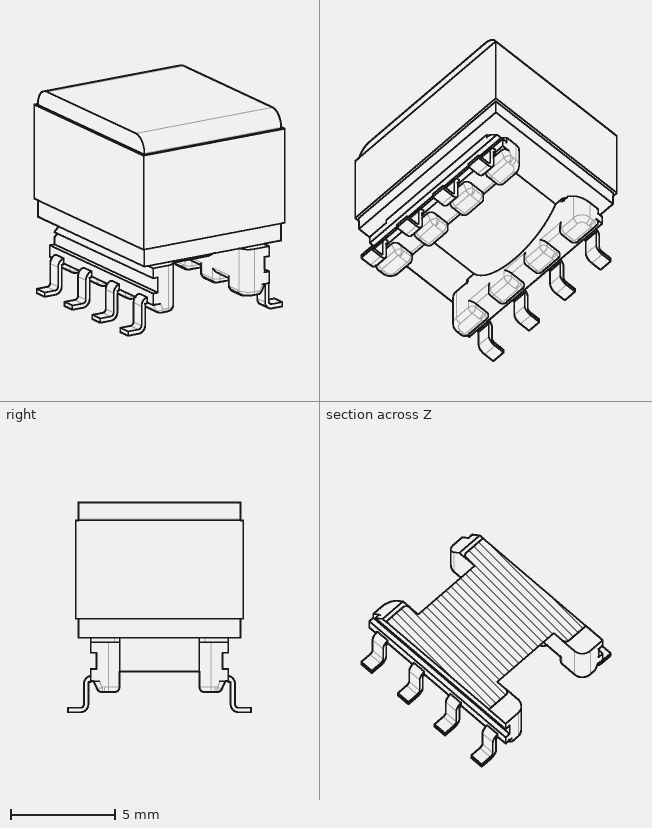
import cadquery as cq
import math

sleeve_length = 9.78
sleeve_width = 8.06
sleeve_bottom = 4.49
sleeve_top = 9.22
tape_thickness = 0.13
core_bottom = 3.58
core_top = 10.09
core_edge_radius = 0.8

rail_half_length = 4.62
rail_inner_y = 1.92
rail_outer_y = 3.31
rail_bottom = 1.5
rail_top = 3.36
end_chamfer = 0.91
groove_depth = 0.27
groove_bottom = 2.09
groove_top = 2.86
rail_end_radius = 0.54
neck_half_length = 3.49
edge_radius = 0.25

pitch = 2.48
lead_count = 4
post_gap = 1.01
post_root = edge_radius
post_bottom = 0.97
post_top_setback = 0.13
post_bottom_setback = 0.38
lead_positions = [(i - (lead_count - 1) / 2) * pitch for i in range(lead_count)]
lead_width = 0.72
lead_thickness = 0.22
lead_inner_radius = 0.17
lead_outer_radius = lead_inner_radius + lead_thickness
lead_shank_y = 3.63
lead_tip_y = 4.4
lead_root_z = 1.45
top_bend_z = 1.37

drum_radius = 3.28
drum_bottom = 1.95


def block(length, width, bottom, top):
    """Box centred on the Z axis."""
    return cq.Workplane("XY").workplane(offset=bottom).rect(length, width).extrude(top - bottom)


def make_core():
    core_length = sleeve_length - 2 * tape_thickness
    core_width = sleeve_width - 2 * tape_thickness
    core = block(core_length, core_width, core_bottom, core_top)
    core = core.faces(">Z").edges("|Y").fillet(core_edge_radius)
    return core.union(block(sleeve_length, sleeve_width, sleeve_bottom, sleeve_top))


def rounded_strip(half_length, radius, bottom, top):
    """Strip as wide as a rail, with its two inner vertical edges rounded."""
    strip = (
        cq.Workplane("XY")
        .workplane(offset=bottom)
        .center(0, -(rail_inner_y + rail_outer_y) / 2)
        .rect(2 * half_length, rail_outer_y - rail_inner_y)
        .extrude(top - bottom)
    )
    return strip.faces(">Y").edges("|Z").fillet(radius)


def make_rail():
    """Grooved rail on the -Y side with its neck, without posts and leads."""
    groove_y = rail_outer_y - groove_depth
    quarter = edge_radius * (1 - math.sqrt(0.5))
    section = (
        cq.Workplane("YZ")
        .workplane(offset=-rail_half_length)
        .moveTo(-rail_outer_y, rail_bottom)
        .lineTo(-rail_inner_y - edge_radius, rail_bottom)
        .threePointArc(
            (-rail_inner_y - quarter, rail_bottom + quarter),
            (-rail_inner_y, rail_bottom + edge_radius),
        )
        .lineTo(-rail_inner_y, rail_top)
        .lineTo(-rail_outer_y, rail_top)
        .lineTo(-rail_outer_y, groove_top)
        .lineTo(-groove_y, groove_top)
        .lineTo(-groove_y, groove_bottom)
        .lineTo(-rail_outer_y, groove_bottom)
        .close()
        .extrude(2 * rail_half_length)
    )
    rail = section.intersect(
        rounded_strip(rail_half_length, rail_end_radius, rail_bottom, rail_top)
    )
    corner_cut = (
        cq.Workplane("XZ")
        .moveTo(-rail_half_length, rail_top)
        .lineTo(-rail_half_length + end_chamfer, rail_top)
        .lineTo(-rail_half_length, rail_top - end_chamfer)
        .close()
        .extrude(rail_outer_y)
    )
    neck = rounded_strip(neck_half_length, edge_radius, rail_top, core_bottom)
    return rail.cut(corner_cut).union(neck)


def make_post(left, right, left_radius, right_radius):
    """Post under the -Y rail from x = left to x = right; the radii round its inner edges."""
    slope = (post_bottom_setback - post_top_setback) / (rail_bottom - post_bottom)
    root_setback = post_top_setback - slope * post_root
    root_z = rail_bottom + post_root
    post = (
        cq.Workplane("YZ")
        .workplane(offset=left)
        .moveTo(-rail_inner_y, root_z)
        .lineTo(-rail_inner_y, post_bottom)
        .lineTo(-rail_outer_y + post_bottom_setback, post_bottom)
        .lineTo(-rail_outer_y + root_setback, root_z)
        .close()
        .extrude(right - left)
    )
    post = post.faces(">Y").edges("<X").fillet(left_radius)
    post = post.faces(">Y").edges(">X").fillet(right_radius)
    post = post.faces("<Y").edges("<X or >X").fillet(edge_radius)
    return post.faces("<Z").edges().fillet(edge_radius)


def make_posts():
    """One post per lead, split by gaps; the end posts run out to the rail ends."""
    posts = []
    for i, x in enumerate(lead_positions):
        left, right = x - (pitch - post_gap) / 2, x + (pitch - post_gap) / 2
        left_radius = right_radius = edge_radius
        if i == 0:
            left, left_radius = -rail_half_length, rail_end_radius
        if i == lead_count - 1:
            right, right_radius = rail_half_length, rail_end_radius
        posts.append(make_post(left, right, left_radius, right_radius))
    return posts


def arc_point(center_y, center_z, radius, degrees):
    """Point in the YZ plane, at an angle measured from +Y towards +Z."""
    angle = math.radians(degrees)
    return center_y + radius * math.cos(angle), center_z + radius * math.sin(angle)


def make_lead(x):
    """Gull-wing lead of the -Y rail, centred at x."""
    shank_inner_y = -lead_shank_y + lead_thickness
    top_bend = (-lead_shank_y + lead_outer_radius, top_bend_z, lead_outer_radius)
    root_angle = math.degrees(math.acos((-rail_outer_y - top_bend[0]) / lead_outer_radius))
    foot_center = (-lead_shank_y - lead_inner_radius, lead_outer_radius)
    return (
        cq.Workplane("YZ")
        .workplane(offset=x - lead_width / 2)
        .moveTo(-rail_outer_y, lead_root_z)
        .lineTo(shank_inner_y, lead_root_z)
        .lineTo(shank_inner_y, lead_outer_radius)
        .threePointArc(
            arc_point(*foot_center, lead_outer_radius, -45),
            arc_point(*foot_center, lead_outer_radius, -90),
        )
        .lineTo(-lead_tip_y, 0)
        .lineTo(-lead_tip_y, lead_thickness)
        .lineTo(foot_center[0], lead_thickness)
        .threePointArc(
            arc_point(*foot_center, lead_inner_radius, -45),
            arc_point(*foot_center, lead_inner_radius, 0),
        )
        .lineTo(-lead_shank_y, top_bend_z)
        .threePointArc(
            arc_point(*top_bend, (180 + root_angle) / 2),
            arc_point(*top_bend, root_angle),
        )
        .close()
        .extrude(lead_width)
    )


def make_winding():
    """Part of the drum that hangs below the core and joins the two rails."""
    drum = (
        cq.Workplane("XZ")
        .center(0, drum_bottom + drum_radius)
        .circle(drum_radius)
        .extrude(rail_inner_y, both=True)
    )
    return drum.intersect(block(2 * drum_radius, 2 * rail_inner_y, drum_bottom, core_bottom))


def make_bobbin():
    side = make_rail()
    for post in make_posts():
        side = side.union(post)
    for x in lead_positions:
        side = side.union(make_lead(x))
    return make_winding().union(side).union(side.mirror("XZ"))


core = make_core()
bobbin = make_bobbin()
result = cq.Compound.makeCompound([core.solids().val(), bobbin.solids().val()])